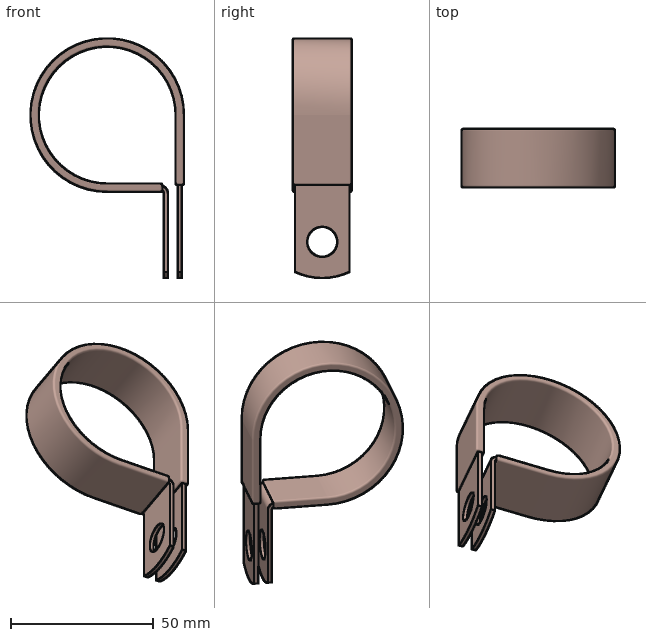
import cadquery as cq

loop_diameter = 53.9
overall_height = 84.1
strap_thickness = 1.5
strap_width = 19.2
cushion_wall = 0.75

leg_gap = 3.4
bend_inner_radius = 1.3
right_cushion_end_z = -24.55
lower_cushion_end_x = 19.3

hole_diameter = 10.4
hole_z = -44.4
tip_rise = 2.2

loop_radius = loop_diameter / 2
cushion_thickness = strap_thickness + 2 * cushion_wall
cushion_inner_radius = loop_radius - cushion_thickness
strap_outer_radius = loop_radius - cushion_wall
strap_inner_radius = strap_outer_radius - strap_thickness
cushion_width = strap_width + 2 * cushion_wall

tip_z = loop_radius - overall_height
tip_shoulder_z = tip_z + tip_rise
left_leg_outer_x = strap_inner_radius - leg_gap
left_leg_inner_x = left_leg_outer_x - strap_thickness
bend_outer_radius = bend_inner_radius + strap_thickness
bend_center_x = left_leg_outer_x - bend_outer_radius
bend_center_z = -strap_inner_radius - bend_outer_radius
diagonal = 0.5 ** 0.5


def loop_midpoint(radius):
    """Middle of the three-quarter loop running from +X over the top to -Z."""
    return (-radius * diagonal, radius * diagonal)


def bend_midpoint(radius):
    return (bend_center_x + radius * diagonal, bend_center_z + radius * diagonal)


def extrude_centered(profile, width):
    return profile.close().extrude(width / 2, both=True)


def make_cushion():
    profile = (
        cq.Workplane("XZ")
        .moveTo(loop_radius, right_cushion_end_z)
        .lineTo(loop_radius, 0)
        .threePointArc(loop_midpoint(loop_radius), (0, -loop_radius))
        .lineTo(lower_cushion_end_x, -loop_radius)
        .lineTo(lower_cushion_end_x, -cushion_inner_radius)
        .lineTo(0, -cushion_inner_radius)
        .threePointArc(loop_midpoint(cushion_inner_radius), (cushion_inner_radius, 0))
        .lineTo(cushion_inner_radius, right_cushion_end_z)
    )
    body = extrude_centered(profile, cushion_width)
    rims = body.faces("<Y or >Y").edges()
    end_edges = body.edges("|Y").edges(
        cq.selectors.BoxSelector(
            (lower_cushion_end_x - cushion_wall, -cushion_width, -overall_height),
            (overall_height, cushion_width, right_cushion_end_z + cushion_wall),
        )
    )
    return body.newObject(rims.vals() + end_edges.vals()).fillet(cushion_wall)


def make_bent_strap():
    profile = (
        cq.Workplane("XZ")
        .moveTo(strap_outer_radius, tip_z)
        .lineTo(strap_outer_radius, 0)
        .threePointArc(loop_midpoint(strap_outer_radius), (0, -strap_outer_radius))
        .lineTo(bend_center_x, -strap_outer_radius)
        .threePointArc(bend_midpoint(bend_inner_radius), (left_leg_inner_x, bend_center_z))
        .lineTo(left_leg_inner_x, tip_z)
        .lineTo(left_leg_outer_x, tip_z)
        .lineTo(left_leg_outer_x, bend_center_z)
        .threePointArc(bend_midpoint(bend_outer_radius), (bend_center_x, -strap_inner_radius))
        .lineTo(0, -strap_inner_radius)
        .threePointArc(loop_midpoint(strap_inner_radius), (strap_inner_radius, 0))
        .lineTo(strap_inner_radius, tip_z)
    )
    return extrude_centered(profile, strap_width)


def make_strap_outline():
    """Prism along X that gives both legs their rounded tips."""
    half_width = strap_width / 2
    return extrude_centered(
        cq.Workplane("YZ")
        .moveTo(-half_width, loop_radius)
        .lineTo(-half_width, tip_shoulder_z)
        .threePointArc((0, tip_z), (half_width, tip_shoulder_z))
        .lineTo(half_width, loop_radius),
        2 * loop_diameter,
    )


def make_bolt_hole():
    return (
        cq.Workplane("YZ")
        .center(0, hole_z)
        .circle(hole_diameter / 2)
        .extrude(loop_diameter, both=True)
    )


strap = make_bent_strap().intersect(make_strap_outline()).cut(make_bolt_hole())
result = make_cushion().union(strap)